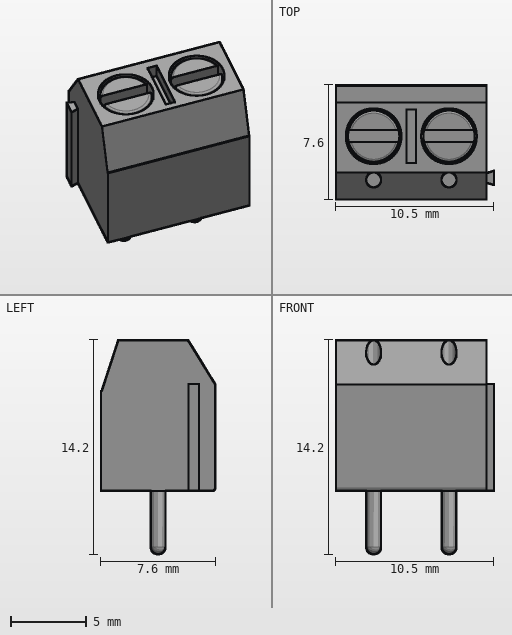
import cadquery as cq


pole_count = 2
pole_pitch = 5.0
total_height = 14.2
housing_height = 10.0
housing_depth = 7.6

shoulder_height = 7.07
front_slope_run = 1.8
back_ledge_height = 6.65
back_ledge_depth = 0.05
back_slope_end = 6.45
toe_radius = 0.2

screw_y = 4.2
screw_radius = 1.7
screw_edge_radius = 0.17
recess_radius = 1.85
recess_depth = 1.99
drive_slot_width = 0.8
drive_slot_depth = 1.0

divider_slot_width = 0.64
divider_slot_length = 3.55
divider_slot_depth = 1.0

test_hole_diameter = 1.0
test_hole_y = 1.3

pin_diameter = 1.0
pin_tip_radius = 0.48

dovetail_y = 1.43
dovetail_height = 7.1
dovetail_reach = 0.5
dovetail_neck_width = 0.67
dovetail_end_width = 0.97

housing_width = pole_count * pole_pitch
pole_positions = [(i + 0.5) * pole_pitch for i in range(pole_count)]
divider_positions = [i * pole_pitch for i in range(1, pole_count)]
pin_y = housing_depth / 2
pin_length = total_height - housing_height


def make_housing():
    """Side profile swept along X, with the lower front edge rounded."""
    back_slope_start = housing_depth - back_ledge_depth
    profile = [
        (0, 0),
        (0, shoulder_height),
        (front_slope_run, housing_height),
        (back_slope_end, housing_height),
        (back_slope_start, back_ledge_height),
        (housing_depth, back_ledge_height),
        (housing_depth, 0),
    ]
    housing = cq.Workplane("YZ").polyline(profile).close().extrude(housing_width)
    return housing.edges("|X and <Y and <Z").fillet(toe_radius)


def make_recess_gap(x):
    """Annular gap around a screw head, together with the rounded edge of the head."""
    floor_z = housing_height - recess_depth
    recess = cq.Workplane("XY", origin=(x, screw_y, floor_z)).circle(recess_radius).extrude(recess_depth)
    head = cq.Workplane("XY", origin=(x, screw_y, floor_z)).circle(screw_radius).extrude(recess_depth)
    return recess.cut(head.faces(">Z").edges().fillet(screw_edge_radius))


def make_drive_slot(x):
    """Screwdriver slot running across the full screw head, open to the gap at both ends."""
    plane = cq.Workplane("XY", origin=(x, screw_y, housing_height))
    return plane.rect(2 * screw_radius, drive_slot_width).extrude(-drive_slot_depth)


def make_divider_slot(x):
    """Blind slot in the top face between two poles."""
    plane = cq.Workplane("XY", origin=(x, screw_y, housing_height))
    return plane.rect(divider_slot_width, divider_slot_length).extrude(-divider_slot_depth)


def make_test_hole(x):
    """Vertical blind hole opening on the sloped shoulder and ending level with its lower edge."""
    plane = cq.Workplane("XY", origin=(x, test_hole_y, shoulder_height))
    return plane.circle(test_hole_diameter / 2).extrude(housing_height - shoulder_height)


def make_pin(x):
    """Solder pin with a rounded tip, hanging from the underside."""
    pin = cq.Workplane("XY", origin=(x, pin_y, 0)).circle(pin_diameter / 2).extrude(-pin_length)
    return pin.faces("<Z").edges().fillet(pin_tip_radius)


def make_dovetail(x):
    """Dovetail bar that widens toward +X, rising from the underside."""
    neck = dovetail_neck_width / 2
    end = dovetail_end_width / 2
    outline = [(0, -neck), (dovetail_reach, -end), (dovetail_reach, end), (0, neck)]
    return cq.Workplane("XY", origin=(x, dovetail_y, 0)).polyline(outline).close().extrude(dovetail_height)


result = make_housing()

for x in pole_positions:
    result = result.cut(make_recess_gap(x))
    result = result.cut(make_drive_slot(x))
    result = result.cut(make_test_hole(x))
    result = result.union(make_pin(x))

for x in divider_positions:
    result = result.cut(make_divider_slot(x))

result = result.cut(make_dovetail(0))
result = result.union(make_dovetail(housing_width))